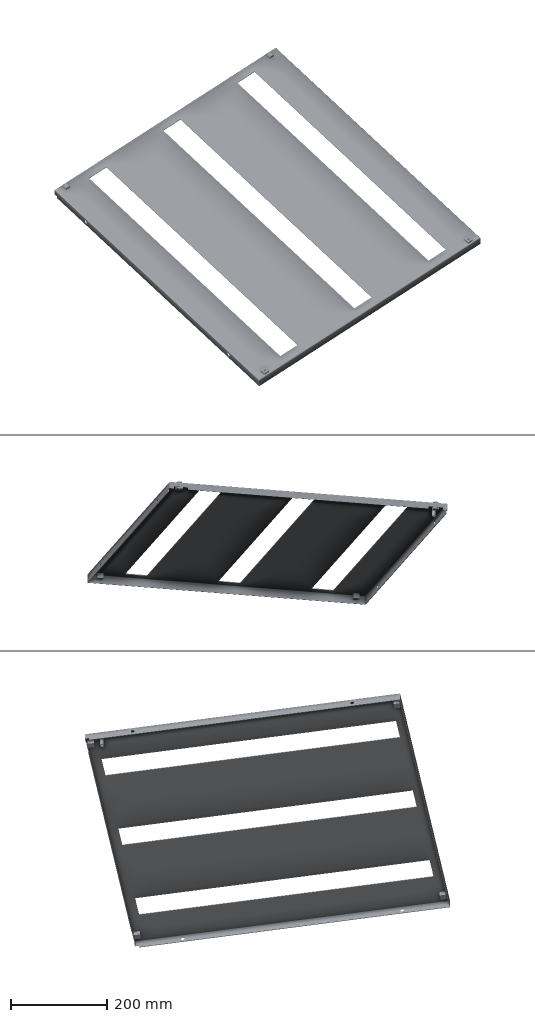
import cadquery as cq

PANEL_X = 665.0
PANEL_Y = 598.0
TOTAL_Z = 23.0
HEAD_RISE = 3.65
PANEL_Z = TOTAL_Z - HEAD_RISE
SHEET = 1.5
BEND_RADIUS = 2.3

WINDOW_COUNT = 3
WINDOW_X = 621.0
WINDOW_Y = 47.0
WINDOW_PITCH = 200.0

FLANGE_HOLE_DIAMETER = 8.0
FLANGE_HOLE_INSET = 101.0
FLANGE_HOLE_Z = 8.5

LEFT_FLANGE_BOTTOM = 5.0
LEFT_CUT_X = 8.5
NOTCH_TOP = 10.0
NOTCH_START = 10.0
NOTCH_LENGTH = 30.5

FASTENER_Y = 275.0
SHANK_BOTTOM = 7.0
CLIP_X = -322.5
CLIP_WIDTH = 12.0
CLIP_EDGE_GAP = 2.45
CLIP_HEAD_TOP = 9.0
LOCK_X = 322.0
LOCK_WIDTH = 12.5
LOCK_HEAD_TOP = 12.0
PIN_DIAMETER = 6.0
PIN_RECESS = 1.0
PIN_SLOT_WIDTH = 2.0
PIN_SLOT_DEPTH = 2.0

STUD_X = -300.0
STUD_Y = -278.0
STUD_DIAMETER = 8.5
STUD_BORE = 5.0
STUD_BORE_DEPTH = 12.5


def box_between(x_min, x_max, y_min, y_max, z_min, z_max):
    """Box given by its limits along each axis."""
    size = (x_max - x_min, y_max - y_min, z_max - z_min)
    return cq.Workplane("XY").box(*size, centered=False).translate((x_min, y_min, z_min))


def clip_shank(y):
    """Clip post up to the panel's top face; it reaches close to the left flange."""
    half = CLIP_WIDTH / 2
    left = -PANEL_X / 2 + CLIP_EDGE_GAP
    return box_between(left, CLIP_X + half, y - half, y + half, SHANK_BOTTOM, PANEL_Z)


def lock_shank(y):
    """Square bush post up to the panel's top face."""
    half = LOCK_WIDTH / 2
    return box_between(LOCK_X - half, LOCK_X + half, y - half, y + half, SHANK_BOTTOM, PANEL_Z)


def tapered_head(x, y, base, top):
    """Square head that narrows upward from the panel's top face."""
    return (
        cq.Workplane("XY", origin=(x, y, PANEL_Z))
        .rect(base, base)
        .workplane(offset=HEAD_RISE)
        .rect(top, top)
        .loft(ruled=True)
    )


def make_tray():
    """Sheet with a flange folded down along each side."""
    outer = (
        cq.Workplane("XY")
        .box(PANEL_X, PANEL_Y, PANEL_Z, centered=(True, True, False))
        .faces(">Z")
        .edges()
        .fillet(BEND_RADIUS)
    )
    inner = (
        cq.Workplane("XY")
        .box(PANEL_X - 2 * SHEET, PANEL_Y - 2 * SHEET, PANEL_Z - SHEET, centered=(True, True, False))
        .faces(">Z")
        .edges()
        .fillet(BEND_RADIUS - SHEET)
    )
    return outer.cut(inner)


def cut_windows(panel):
    windows = (
        cq.Workplane("XY")
        .rarray(6.5, WINDOW_PITCH, 1, WINDOW_COUNT)
        .rect(WINDOW_X, WINDOW_Y)
        .extrude(PANEL_Z)
    )
    return panel.cut(windows)


def cut_flange_holes(panel):
    hole_x = PANEL_X / 2 - FLANGE_HOLE_INSET
    holes = (
        cq.Workplane("XZ")
        .pushPoints([(-hole_x, FLANGE_HOLE_Z), (hole_x, FLANGE_HOLE_Z)])
        .circle(FLANGE_HOLE_DIAMETER / 2)
        .extrude(PANEL_Y / 2, both=True)
    )
    return panel.cut(holes)


def shorten_left_flange(panel):
    left = -PANEL_X / 2
    front = -PANEL_Y / 2
    panel = panel.cut(box_between(left, left + LEFT_CUT_X, front, -front, 0, LEFT_FLANGE_BOTTOM))
    notch_y = front + NOTCH_START
    notch = box_between(left, left + SHEET, notch_y, notch_y + NOTCH_LENGTH, 0, NOTCH_TOP)
    return panel.cut(notch).cut(notch.mirror("XZ"))


def cut_fastener_holes(panel):
    for y in (-FASTENER_Y, FASTENER_Y):
        panel = panel.cut(clip_shank(y))
        panel = panel.cut(lock_shank(y))
    return panel


def make_panel():
    panel = make_tray()
    panel = cut_windows(panel)
    panel = cut_flange_holes(panel)
    panel = shorten_left_flange(panel)
    return cut_fastener_holes(panel)


def make_clip(y):
    """Left clip: square shank with a tapered head."""
    return clip_shank(y).union(tapered_head(CLIP_X, y, CLIP_WIDTH, CLIP_HEAD_TOP))


def make_lock_bush(y):
    """Right bush: square shank and tapered head with a round bore for the pin."""
    bush = lock_shank(y).union(tapered_head(LOCK_X, y, LOCK_WIDTH, LOCK_HEAD_TOP))
    bore = (
        cq.Workplane("XY", origin=(LOCK_X, y, SHANK_BOTTOM))
        .circle(PIN_DIAMETER / 2)
        .extrude(TOTAL_Z - SHANK_BOTTOM)
    )
    return bush.cut(bore)


def make_lock_pin(y):
    """Slotted pin that fills the bush's bore up to just below its rim."""
    pin_top = TOTAL_Z - PIN_RECESS
    pin = (
        cq.Workplane("XY", origin=(LOCK_X, y, SHANK_BOTTOM))
        .circle(PIN_DIAMETER / 2)
        .extrude(pin_top - SHANK_BOTTOM)
    )
    slot = (
        cq.Workplane("XY", origin=(LOCK_X, y, pin_top - PIN_SLOT_DEPTH))
        .rect(PIN_SLOT_WIDTH, PIN_DIAMETER)
        .extrude(PIN_SLOT_DEPTH)
    )
    return pin.cut(slot)


def make_stud():
    """Post from the bottom plane to the underside of the sheet, with a blind bore from below."""
    base = cq.Workplane("XY", origin=(STUD_X, STUD_Y, 0))
    post = base.circle(STUD_DIAMETER / 2).extrude(PANEL_Z - SHEET)
    bore = base.circle(STUD_BORE / 2).extrude(STUD_BORE_DEPTH)
    return post.cut(bore)


panel = make_panel()
stud = make_stud()
clips = []
lock_bushes = []
lock_pins = []
for fastener_y in (-FASTENER_Y, FASTENER_Y):
    clips.append(make_clip(fastener_y).val())
    lock_bushes.append(make_lock_bush(fastener_y).val())
    lock_pins.append(make_lock_pin(fastener_y).val())

result = cq.Compound.makeCompound([panel.val(), stud.val(), *clips, *lock_bushes, *lock_pins])